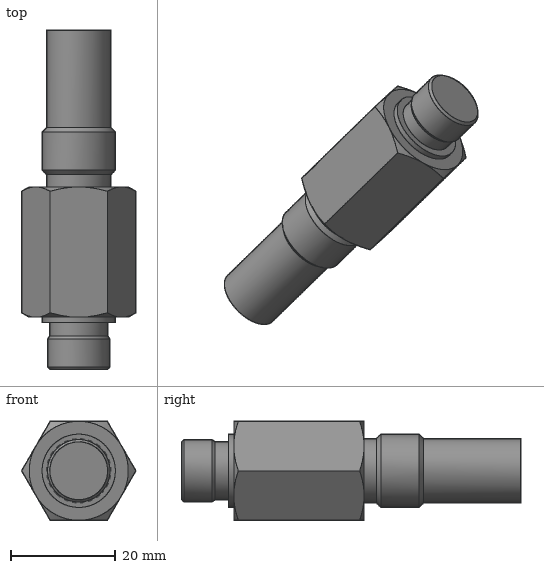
import cadquery as cq
import math

length = 65.0

plug_radius = 6.0
plug_chamfer = 0.45
relief_radius = 5.6
collar_radius = 7.0
tube_radius = 6.2

relief_cone_start = 5.85
relief_cone_length = 0.6
collar_start = 9.0
hex_start = 10.0
hex_length = 24.95
hex_end = hex_start + hex_length
sleeve_start = 37.3
sleeve_length = 9.05
sleeve_end = sleeve_start + sleeve_length
sleeve_chamfer = collar_radius - tube_radius

hex_across_flats = 19.0
hex_flat_radius = hex_across_flats / 2
hex_corner_radius = hex_flat_radius / math.cos(math.radians(30))
hex_chamfer_angle = math.radians(30)
hex_chamfer_depth = (hex_corner_radius - hex_flat_radius) * math.tan(hex_chamfer_angle)


def revolve_about_y(profile):
    """Revolve (radius, y) points, closed along the axis, about the Y axis."""
    axis_start = (0, profile[0][1])
    axis_end = (0, profile[-1][1])
    outline = cq.Workplane("XY").polyline([axis_start, *profile, axis_end]).close()
    return outline.revolve(360, (0, 0), (0, 1))


def turned_body():
    return revolve_about_y([
        (plug_radius - plug_chamfer, 0),
        (plug_radius, plug_chamfer),
        (plug_radius, relief_cone_start),
        (relief_radius, relief_cone_start + relief_cone_length),
        (relief_radius, collar_start),
        (collar_radius, collar_start),
        (collar_radius, hex_end),
        (tube_radius, hex_end),
        (tube_radius, sleeve_start),
        (collar_radius, sleeve_start + sleeve_chamfer),
        (collar_radius, sleeve_end - sleeve_chamfer),
        (tube_radius, sleeve_end),
        (tube_radius, length),
    ])


def chamfered_hexagon():
    prism = (
        cq.Workplane("XZ", origin=(0, hex_start, 0))
        .polygon(6, 2 * hex_corner_radius)
        .extrude(-hex_length)
    )
    envelope = revolve_about_y([
        (hex_flat_radius, hex_start),
        (hex_corner_radius, hex_start + hex_chamfer_depth),
        (hex_corner_radius, hex_end - hex_chamfer_depth),
        (hex_flat_radius, hex_end),
    ])
    return prism.intersect(envelope)


result = turned_body().union(chamfered_hexagon())